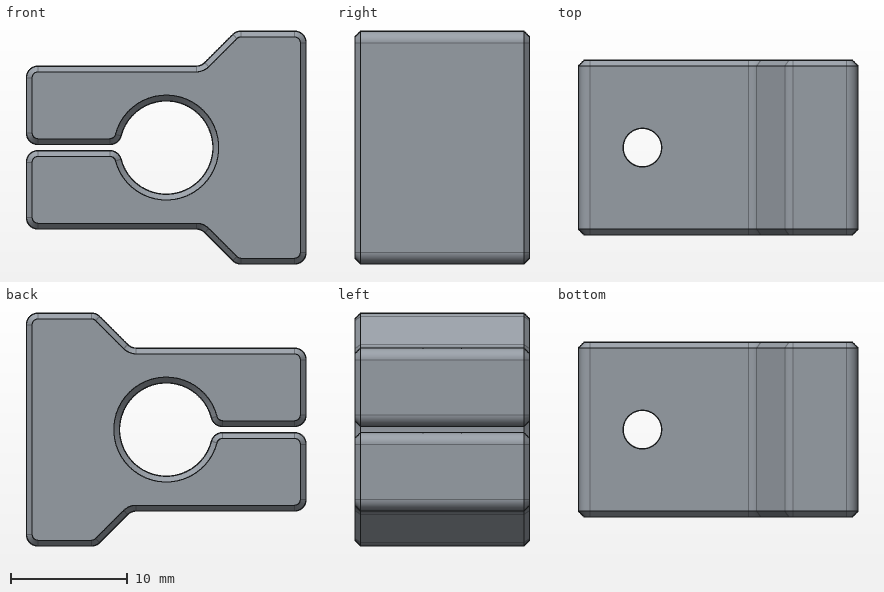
import cadquery as cq

length = 24.0
depth = 15.0
height = 20.0

arm_height = 14.0
shoulder_start = 15.0
shoulder_rise = (height - arm_height) / 2
shoulder_end = shoulder_start + shoulder_rise

bore_x = length / 2
bore_diameter = 8.0
slit_width = 0.5

screw_x = 5.5
screw_diameter = 3.3

corner_radius = 1.0
edge_chamfer = 0.5


def clamp_body():
    """Block with two straight arms flaring into a taller base, extruded along Y."""
    upper_half = [
        (0, arm_height / 2),
        (shoulder_start, arm_height / 2),
        (shoulder_end, height / 2),
        (length, height / 2),
    ]
    lower_half = [(x, -z) for x, z in reversed(upper_half)]
    return (
        cq.Workplane("XZ")
        .polyline(upper_half + lower_half)
        .close()
        .extrude(depth / 2, both=True)
    )


def bore_and_slit():
    """Keyhole cutter: the round bore joined to the open end by the slit."""
    bore = (
        cq.Workplane("XZ")
        .center(bore_x, 0)
        .circle(bore_diameter / 2)
        .extrude(depth / 2, both=True)
    )
    slit = cq.Workplane("XY").box(bore_x, depth, slit_width).translate((bore_x / 2, 0, 0))
    return bore.union(slit)


def screw_hole():
    """Vertical hole through both arms."""
    return (
        cq.Workplane("XY")
        .center(screw_x, 0)
        .circle(screw_diameter / 2)
        .extrude(height / 2, both=True)
    )


body = clamp_body().edges("|Y").fillet(corner_radius)

body = body.cut(bore_and_slit())
slit_region = cq.selectors.BoxSelector(
    (-slit_width, -depth, -slit_width),
    (bore_x, depth, slit_width),
)
slit_corners = body.edges("|Y").edges(slit_region)
body = slit_corners.fillet(corner_radius)

body = body.faces("<Y or >Y").edges().chamfer(edge_chamfer)

result = body.cut(screw_hole())